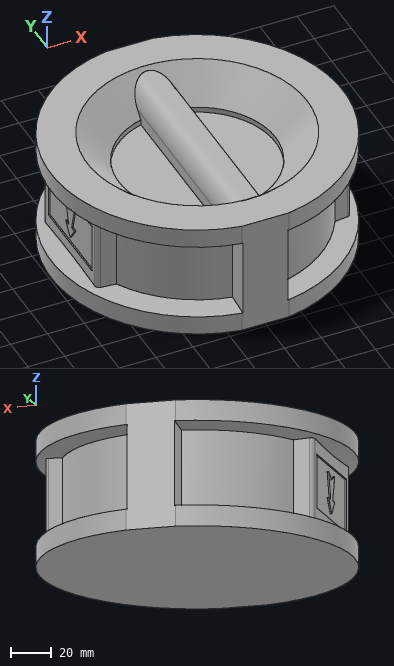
import cadquery as cq
import math

height = 64.0
flange_radius = 79.0
width_across_flats = 156.0
core_radius = 67.5
rim_thickness = 10.6
root_thickness = 12.3
mid_height = height / 2
gap_between_rims = height - 2 * rim_thickness

rib_width = 24.3

pad_face_x = 68.7
pad_base_x = 47.4
pad_face_width = 60.4
pad_flank_angle = 14.0
pad_edge_radius = 2.7

label_length = 50.0
label_height = 27.2
label_depth = 0.8
arrow_half_width = 5.0
arrow_neck_half_width = 1.7
arrow_tip_z = -10.3
arrow_shoulder_z = -3.2
arrow_notch_z = 7.0
arrow_tail_z = 10.0

mouth_radius = 59.4
throat_radius = 42.3
cone_depth = 16.9
throat_length = 3.0
disc_z = height - cone_depth - throat_length

bar_radius = 11.2
bar_top_depth = 1.9
bar_axis_z = height - bar_top_depth - bar_radius


def revolve_about_z(profile):
    return cq.Workplane("XZ").polyline(profile).close().revolve(360, (0, 0), (0, 1))


def make_flanged_core():
    profile = [
        (0, 0),
        (flange_radius, 0),
        (flange_radius, rim_thickness),
        (core_radius, root_thickness),
        (core_radius, height - root_thickness),
        (flange_radius, height - rim_thickness),
        (flange_radius, height),
        (0, height),
    ]
    return revolve_about_z(profile)


def make_ribs():
    block = cq.Workplane("XY").box(rib_width, 2 * flange_radius, gap_between_rims)
    return block.translate((0, 0, mid_height))


def make_pads():
    face_half = pad_face_width / 2
    flank_run = pad_face_x - pad_base_x
    base_half = face_half + flank_run * math.tan(math.radians(pad_flank_angle))
    outline = [
        (pad_base_x, -base_half),
        (pad_face_x, -face_half),
        (pad_face_x, face_half),
        (pad_base_x, base_half),
    ]
    pad = (
        cq.Workplane("XY", origin=(0, 0, rim_thickness))
        .polyline(outline)
        .close()
        .extrude(gap_between_rims)
        .edges("|Z and >X")
        .fillet(pad_edge_radius)
    )
    return pad.union(pad.mirror("YZ"))


def make_label_cut():
    arrow_half_outline = [
        (0, arrow_tip_z),
        (arrow_half_width, arrow_shoulder_z),
        (arrow_neck_half_width, arrow_shoulder_z),
        (arrow_half_width, arrow_tail_z),
        (0, arrow_notch_z),
    ]
    face = cq.Workplane("YZ", origin=(-pad_face_x, 0, mid_height))
    arrow = face.polyline(arrow_half_outline).mirrorY().extrude(label_depth)
    return face.rect(label_length, label_height).extrude(label_depth).cut(arrow)


def make_mouth_cut():
    profile = [
        (0, disc_z),
        (throat_radius, disc_z),
        (throat_radius, height - cone_depth),
        (mouth_radius, height),
        (0, height),
    ]
    return revolve_about_z(profile).cut(make_bar())


def make_bar():
    length = 2 * flange_radius
    top = cq.Workplane("XZ", origin=(0, length / 2, bar_axis_z)).circle(bar_radius).extrude(length)
    web_height = bar_axis_z - disc_z
    web = cq.Workplane("XY").box(2 * bar_radius, length, web_height)
    return top.union(web.translate((0, 0, disc_z + web_height / 2)))


def trim_to_flats(body):
    slab = cq.Workplane("XY").box(2 * flange_radius, width_across_flats, height)
    return body.intersect(slab.translate((0, 0, mid_height)))


body = make_flanged_core().union(make_ribs()).union(make_pads())
body = trim_to_flats(body)
result = body.cut(make_label_cut()).cut(make_mouth_cut())